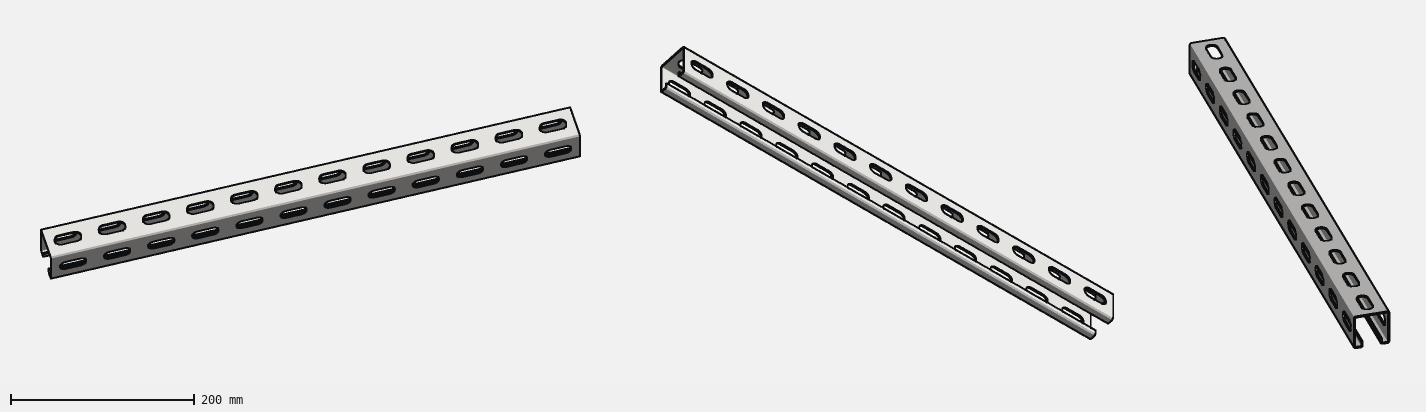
import cadquery as cq
import math

WIDTH = 41.0
HEIGHT = 41.0
LENGTH = 600.0

THICKNESS = 2.0
BEND_RADIUS = 3.0
OPENING = 20.0
LIP_HEIGHT = 7.0

SLOT_LENGTH = 30.0
SLOT_WIDTH = 13.0
SLOT_PITCH = 50.0

INNER_RADIUS = BEND_RADIUS - THICKNESS
BOTTOM = -HEIGHT / 2
SLOT_COUNT = round(LENGTH / SLOT_PITCH)


def section_plane():
    """XZ sketch plane at the +Y end, so that extrusion runs toward -Y."""
    return cq.Workplane("XZ", origin=(0, LENGTH / 2, 0))


def rounded_bar(width, height, radius):
    """Full-length centred bar with its four lengthwise edges rounded."""
    bar = section_plane().rect(width, height).extrude(LENGTH)
    return bar.edges("|Y").fillet(radius)


def box_tube():
    """Closed square tube that holds the web, walls and bottom flanges."""
    outer = rounded_bar(WIDTH, HEIGHT, BEND_RADIUS)
    inner = rounded_bar(WIDTH - 2 * THICKNESS, HEIGHT - 2 * THICKNESS, INNER_RADIUS)
    return outer.cut(inner)


def mouth():
    """Cutter that opens the tube bottom between the starts of the two lip bends."""
    width = OPENING + 2 * BEND_RADIUS
    bottom_sheet = section_plane().center(0, BOTTOM + THICKNESS / 2)
    return bottom_sheet.rect(width, THICKNESS).extrude(LENGTH)


def lip(side):
    """Upturned lip with its bend; side is -1 for the -X lip, +1 for the +X lip."""
    face_x = side * OPENING / 2
    back_x = face_x + side * THICKNESS
    tip_z = BOTTOM + LIP_HEIGHT
    bend_x = face_x + side * BEND_RADIUS
    bend_z = BOTTOM + BEND_RADIUS

    def bend_middle(radius):
        """Point halfway round the bend at the given radius."""
        offset = radius * math.sqrt(0.5)
        return (bend_x - side * offset, bend_z - offset)

    outline = (
        section_plane()
        .moveTo(bend_x, BOTTOM)
        .threePointArc(bend_middle(BEND_RADIUS), (face_x, bend_z))
        .lineTo(face_x, tip_z)
        .lineTo(back_x, tip_z)
        .lineTo(back_x, bend_z)
        .threePointArc(bend_middle(INNER_RADIUS), (bend_x, BOTTOM + THICKNESS))
        .close()
    )
    return outline.extrude(LENGTH)


def slot_centers():
    """Y positions of the slots, evenly pitched about the middle of the channel."""
    return [(i - (SLOT_COUNT - 1) / 2) * SLOT_PITCH for i in range(SLOT_COUNT)]


def web_slots():
    """Slots along Y through the top web only."""
    points = [(0, y) for y in slot_centers()]
    slots = cq.Workplane("XY").pushPoints(points).slot2D(SLOT_LENGTH, SLOT_WIDTH, 90)
    return slots.extrude(HEIGHT)


def wall_slots():
    """Slots along Y through both side walls."""
    points = [(y, 0) for y in slot_centers()]
    slots = cq.Workplane("YZ").pushPoints(points).slot2D(SLOT_LENGTH, SLOT_WIDTH)
    return slots.extrude(WIDTH, both=True)


channel = box_tube().cut(mouth()).union(lip(-1)).union(lip(1))
result = channel.cut(web_slots()).cut(wall_slots())